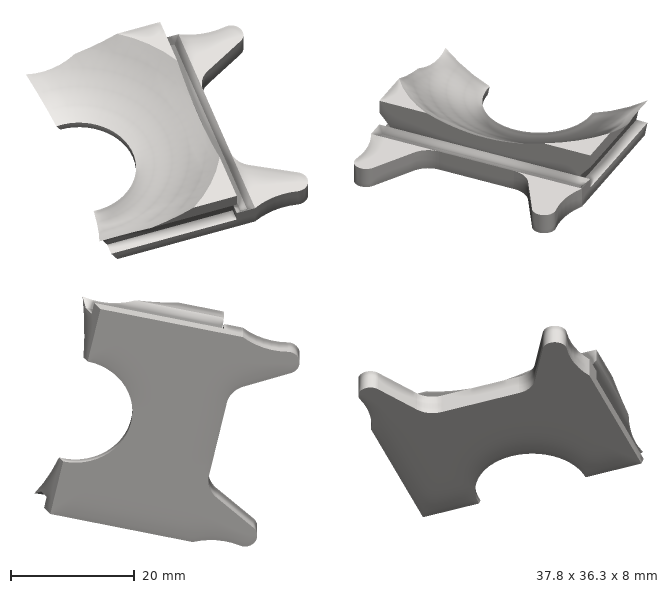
import cadquery as cq
import math

width = 37.8
half_width = width / 2
height = 8.0
plate_height = 3.48
plate_back = 23.6
block_back = 20.45

front_bottom = 0.0
front_slope = 0.57

bowl_radius = 37.05
bowl_rim_radius = 23.0
hole_radius = 9.22

rail_floor = 1.8
rail_depth = 2.0
bevel_top = 5.75

groove_slope_width = 1.02
groove_depth = 1.02

tab_tip_radius = 1.95
tab_tip_x = 15.95
tab_tip_y = 31.6
tab_inner_angle = math.radians(60)
tab_root_radius = 4.0
tab_waist = (17.65, 28.4)
tab_waist_end_y = 31.1


def make_body():
    """Plate and taller block, ending in the slanted front face."""
    profile = [
        (front_bottom, 0),
        (plate_back, 0),
        (plate_back, plate_height),
        (block_back, plate_height),
        (block_back, height),
        (front_bottom - front_slope * height, height),
    ]
    return cq.Workplane("YZ").polyline(profile).close().extrude(half_width, both=True)


def make_bowl():
    """Spherical hollow centred on the Z axis."""
    center_z = height + math.sqrt(bowl_radius**2 - bowl_rim_radius**2)
    return cq.Workplane("XY").sphere(bowl_radius).translate((0, 0, center_z))


def make_rail_slot(side):
    """Slot with a bevelled roof along one side of the block."""
    outer_x = side * half_width
    inner_x = side * (half_width - rail_depth)
    profile = [
        (outer_x, rail_floor),
        (inner_x, rail_floor),
        (inner_x, plate_height),
        (outer_x, bevel_top),
    ]
    slot = cq.Workplane("XZ").polyline(profile).close().extrude(width)
    return slot.translate((0, block_back, 0))


def make_groove():
    """Flat-bottomed groove with all four walls sloping inward."""
    length = plate_back - block_back
    return (
        cq.Workplane("XY", origin=(0, (plate_back + block_back) / 2, plate_height))
        .rect(width, length)
        .workplane(offset=-groove_depth)
        .rect(width - 2 * groove_slope_width, length - 2 * groove_slope_width)
        .loft(ruled=True)
    )


def make_tab():
    """Right-hand tab with a round tip, waisted outer side and filleted inner root."""
    cos_a = math.cos(tab_inner_angle)
    sin_a = math.sin(tab_inner_angle)
    outer_offset = math.sqrt(tab_tip_radius**2 - (tab_waist_end_y - tab_tip_y) ** 2)
    tip_start = (tab_tip_x + outer_offset, tab_waist_end_y)
    tip_top = (tab_tip_x, tab_tip_y + tab_tip_radius)
    tip_end = (tab_tip_x - tab_tip_radius * sin_a, tab_tip_y + tab_tip_radius * cos_a)

    corner_x = tip_end[0] - (tip_end[1] - plate_back) / math.tan(tab_inner_angle)
    root_length = tab_root_radius * math.tan(tab_inner_angle / 2)
    root_start = (corner_x + root_length * cos_a, plate_back + root_length * sin_a)
    root_end = (corner_x - root_length, plate_back)
    half_angle = tab_inner_angle / 2
    root_middle = (
        root_end[0] + tab_root_radius * math.sin(half_angle),
        plate_back + tab_root_radius * (1 - math.cos(half_angle)),
    )
    return (
        cq.Workplane("XY")
        .moveTo(half_width, plate_back)
        .threePointArc(tab_waist, tip_start)
        .threePointArc(tip_top, tip_end)
        .lineTo(*root_start)
        .threePointArc(root_middle, root_end)
        .close()
        .extrude(plate_height)
    )


tab = make_tab()
hole = cq.Workplane("XY").circle(hole_radius).extrude(height)

result = make_body().union(tab).union(tab.mirror("YZ"))
result = result.cut(make_bowl()).cut(hole).cut(make_groove())
for side in (-1, 1):
    result = result.cut(make_rail_slot(side))